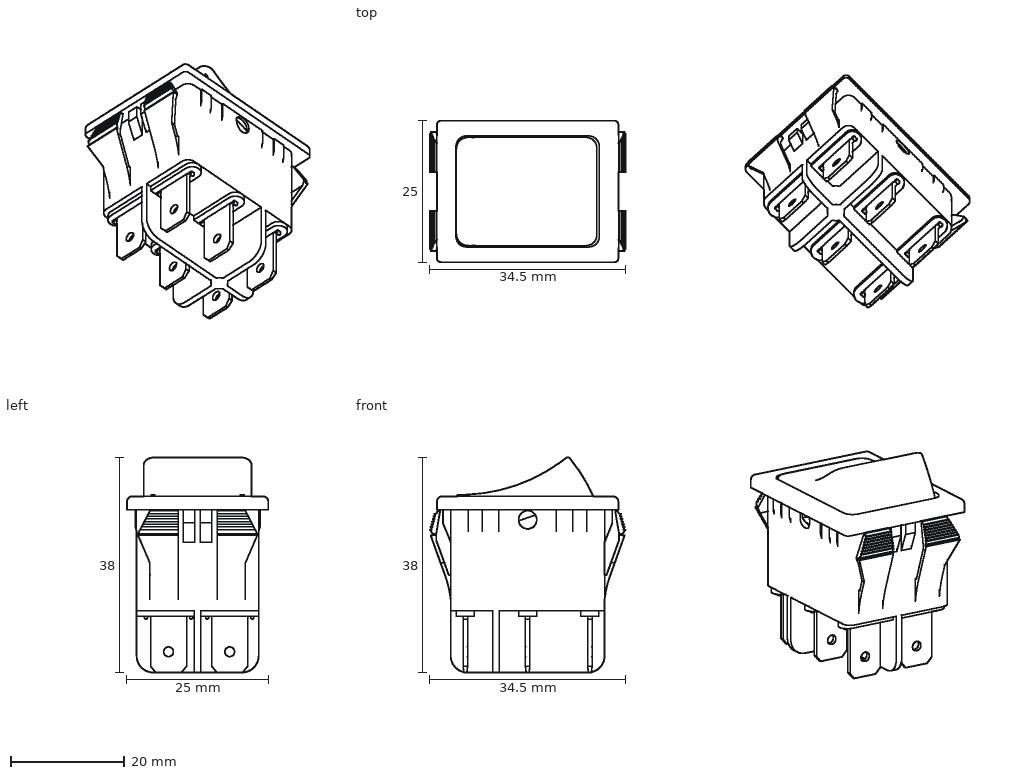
import cadquery as cq
import math


BEZEL_X = 32.07
BEZEL_Y = 25.0
BEZEL_BOTTOM = 28.73
BEZEL_TOP = 31.12
BEZEL_CORNER_R = 0.75
BEZEL_EDGE_R = 1.0
CASE_X = 27.2
CASE_Y = 21.6
CASE_BOTTOM = 10.95
CASE_CORNER_R = 1.52

WELL_X = 25.3
WELL_Y = 19.6
WELL_FLOOR = 20.52
WELL_CORNER_R = 1.9

PIVOT_Z = 26.98
PIVOT_D = 3.2
ROCKER_TILT = 19.0
ROCKER_Y = 19.08
ROCKER_HALF = 12.35
ROCKER_BOTTOM = -1.7
ROCKER_MIDDLE_TOP = 6.42
ROCKER_CREST_X = 10.4
ROCKER_CREST_Z = 8.3
ROCKER_END_BULGE = 0.3
ROCKER_CORNER_R = 1.98
ROCKER_EDGE_R = 0.5
BOSS_D = 4.85
PIN_END_Y = 10.55
PIN_RAMP_START = 0.35
PIN_RAMP_DEPTH = 1.03

DIVIDER_T = 1.15
DIVIDER_CORNER_R = 3.0
DIVIDER_FILLET_R = 0.3
POST_D = 3.0
CROSS_DIVIDER_X = -5.55
PAD_W = 3.2
PAD_BOTTOM = 10.0

TERMINAL_PITCH_X = 11.0
TERMINAL_PITCH_Y = 10.8
TERMINAL_SHIFT_Y = -0.25
TERMINAL_W = 6.35
TERMINAL_T = 0.8
TERMINAL_ROOT_R = 0.25
TERMINAL_TIP_H = 1.15
TERMINAL_TIP_SIDE = 0.95
TERMINAL_TIP_FACE = 0.15
TERMINAL_HOLE_D = 1.7
TERMINAL_HOLE_Z = 3.7
BARB_SPACING = 7.98
BARB_D = 0.57
BARB_BOTTOM = 9.45

OVERALL_X = 34.55
CLIP_TOP = 28.55
CLIP_INNER_Y = 3.42
CLIP_OUTER_Y = 8.45
CLIP_WIDE_Y = 10.53
CLIP_WAIST_Z = 19.38
CLIP_FOOT_Z = 13.0
CLIP_BEND_X = 14.55
CLIP_BEND_Z = 17.05
CLIP_LEDGE_X = 17.15
CLIP_LEDGE_Z = 24.25
CLIP_NECK_X = 16.8
CLIP_NECK_Z = 24.5
CLIP_TIP_OUTER_X = 15.85
CLIP_TIP_INNER_X = 15.43
CLIP_KNEE_X = 16.1
CLIP_KNEE_Z = 23.37
CLIP_ARMPIT_X = 13.9
CLIP_ARMPIT_Z = 17.25
TOOTH_COUNT = 7
TOOTH_REACH = OVERALL_X / 2
TOOTH_LOWEST_Z = 25.25
TOOTH_RISE = 2.85
TOOTH_PITCH = TOOTH_RISE / (TOOTH_COUNT - 1)
TOOTH_STEP = 0.125
TOOTH_DEPTH = 0.36

RIB_W = 2.05
RIB_SPACING = 3.0
RIB_REACH = 1.35
RIB_BEVEL_Z = 26.4
RIB_BOTTOM = 23.03
WEDGE_REACH = 0.247
WEDGE_BEVEL_Z = 25.9
WEDGE_BOTTOM = 24.95
SIDE_WEDGE_X = 9.25
SIDE_WEDGE_W = 2.47
MIDDLE_WEDGE_W = 10.15


def block(size_x, size_y, bottom, top):
    """Box centred on the Z axis between two heights."""
    return cq.Workplane("XY", origin=(0, 0, bottom)).rect(size_x, size_y).extrude(top - bottom)


def make_shell():
    """Case and bezel with the well for the rocker."""
    case = block(CASE_X, CASE_Y, CASE_BOTTOM, BEZEL_TOP - BEZEL_EDGE_R).edges("|Z").fillet(CASE_CORNER_R)
    bezel = block(BEZEL_X, BEZEL_Y, BEZEL_BOTTOM, BEZEL_TOP)
    bezel = bezel.edges("|Z").fillet(BEZEL_CORNER_R).faces(">Z").edges().fillet(BEZEL_EDGE_R)
    well = block(WELL_X, WELL_Y, WELL_FLOOR, BEZEL_TOP).edges("|Z").fillet(WELL_CORNER_R)
    return case.union(bezel).cut(well)


def make_dividers():
    """Lengthwise and crosswise divider walls, with a round filleted post where they cross."""
    lengthwise = block(CASE_X, DIVIDER_T, 0, CASE_BOTTOM).edges("|Y and <Z").fillet(DIVIDER_CORNER_R)
    crosswise = block(DIVIDER_T, CASE_Y, 0, CASE_BOTTOM).edges("|X and <Z").fillet(DIVIDER_CORNER_R)
    post = cq.Workplane("XY").circle(POST_D / 2).extrude(CASE_BOTTOM)
    crossing = crosswise.union(post).translate((CROSS_DIVIDER_X, 0, 0))
    around_post = cq.selectors.BoxSelector(
        (CROSS_DIVIDER_X - POST_D, -POST_D, 0),
        (CROSS_DIVIDER_X + POST_D, POST_D, CASE_BOTTOM),
    )
    return lengthwise.union(crossing).edges("|Z").edges(around_post).fillet(DIVIDER_FILLET_R)


def make_pad(x):
    """Round-ended pad that carries one row of terminals."""
    return (
        cq.Workplane("XY", origin=(x, 0, PAD_BOTTOM))
        .slot2D(CASE_Y, PAD_W, 90)
        .extrude(CASE_BOTTOM - PAD_BOTTOM)
    )


def make_terminal(x, y):
    """Blade with a tapered tip, a hole, flared root and two round barbs."""
    half = TERMINAL_W / 2
    tip_half = half - TERMINAL_TIP_SIDE
    root_z = PAD_BOTTOM - TERMINAL_ROOT_R
    middle = math.sqrt(0.5)
    bow = TERMINAL_ROOT_R * (1 - middle)
    blade = (
        cq.Workplane("YZ")
        .moveTo(half + TERMINAL_ROOT_R, PAD_BOTTOM)
        .threePointArc((half + bow, PAD_BOTTOM - bow), (half, root_z))
        .lineTo(half, TERMINAL_TIP_H)
        .lineTo(tip_half, 0)
        .lineTo(-tip_half, 0)
        .lineTo(-half, TERMINAL_TIP_H)
        .lineTo(-half, root_z)
        .threePointArc((-half - bow, PAD_BOTTOM - bow), (-half - TERMINAL_ROOT_R, PAD_BOTTOM))
        .close()
        .extrude(TERMINAL_T / 2, both=True)
    )
    face = TERMINAL_T / 2
    tip_face = face - TERMINAL_TIP_FACE
    thickness = (
        cq.Workplane("XZ")
        .polyline(
            [
                (face, PAD_BOTTOM),
                (face, TERMINAL_TIP_H),
                (tip_face, 0),
                (-tip_face, 0),
                (-face, TERMINAL_TIP_H),
                (-face, PAD_BOTTOM),
            ]
        )
        .close()
        .extrude(TERMINAL_W, both=True)
    )
    hole = (
        cq.Workplane("YZ")
        .center(0, TERMINAL_HOLE_Z)
        .circle(TERMINAL_HOLE_D / 2)
        .extrude(TERMINAL_T, both=True)
    )
    terminal = blade.intersect(thickness).cut(hole)
    for side in (-1, 1):
        barb = (
            cq.Workplane("YZ")
            .center(side * BARB_SPACING / 2, BARB_BOTTOM + BARB_D)
            .slot2D(2 * BARB_D, BARB_D, 90)
            .extrude(TERMINAL_T / 2, both=True)
        )
        terminal = terminal.union(barb)
    return terminal.translate((x, y, 0))


def make_clip():
    """Toothed snap clip on the +X end, on the +Y half."""
    wall = CASE_X / 2
    teeth = []
    for i in range(TOOTH_COUNT):
        tip_x = TOOTH_REACH - i * TOOTH_STEP
        tip_z = TOOTH_LOWEST_Z + i * TOOTH_PITCH
        teeth += [(tip_x, tip_z), (tip_x - TOOTH_DEPTH, tip_z)]
    profile = (
        cq.Workplane("XZ")
        .moveTo(CLIP_LEDGE_X, CLIP_LEDGE_Z)
        .lineTo(CLIP_BEND_X, CLIP_BEND_Z)
        .tangentArcPoint((wall, CLIP_FOOT_Z), relative=False)
        .lineTo(wall, CLIP_ARMPIT_Z)
        .lineTo(CLIP_ARMPIT_X, CLIP_ARMPIT_Z)
        .lineTo(CLIP_KNEE_X, CLIP_KNEE_Z)
        .lineTo(CLIP_KNEE_X, CLIP_NECK_Z)
        .lineTo(CLIP_TIP_INNER_X, CLIP_TOP)
        .lineTo(CLIP_TIP_OUTER_X, CLIP_TOP)
    )
    for x, z in reversed(teeth):
        profile = profile.lineTo(x, z)
    profile = profile.lineTo(CLIP_NECK_X, CLIP_NECK_Z).lineTo(CLIP_NECK_X, CLIP_LEDGE_Z).close()
    outline = (
        cq.Workplane("YZ")
        .polyline(
            [
                (CLIP_INNER_Y, CLIP_FOOT_Z),
                (CLIP_OUTER_Y, CLIP_FOOT_Z),
                (CLIP_OUTER_Y, CLIP_WAIST_Z),
                (CLIP_WIDE_Y, CLIP_LEDGE_Z),
                (CLIP_WIDE_Y, CLIP_NECK_Z),
                (CLIP_OUTER_Y, CLIP_TOP),
                (CLIP_INNER_Y, CLIP_TOP),
            ]
        )
        .close()
        .extrude(BEZEL_X)
    )
    return profile.extrude(-BEZEL_Y).intersect(outline)


def make_hanging_wedge(plane, wall, reach, width, bevel_z, bottom):
    """Wedge under the bezel, with its lower end sloping back to the wall."""
    outer = wall + reach
    return (
        cq.Workplane(plane)
        .polyline([(wall, BEZEL_BOTTOM), (outer, BEZEL_BOTTOM), (outer, bevel_z), (wall, bottom)])
        .close()
        .extrude(width / 2, both=True)
    )


def make_housing():
    """Case with bezel, dividers, terminals, clips, ribs and wedges as one solid."""
    housing = make_shell().union(make_dividers())

    for row in (-1, 0, 1):
        x = row * TERMINAL_PITCH_X
        housing = housing.union(make_pad(x))
        for side in (-1, 1):
            y = TERMINAL_SHIFT_Y + side * TERMINAL_PITCH_Y / 2
            housing = housing.union(make_terminal(x, y))

    clip = make_clip()
    clips = clip.union(clip.mirror("XZ"))
    housing = housing.union(clips).union(clips.mirror("YZ"))

    rib = make_hanging_wedge("XZ", CASE_X / 2, RIB_REACH, RIB_W, RIB_BEVEL_Z, RIB_BOTTOM)
    for side in (-1, 1):
        placed = rib.translate((0, side * RIB_SPACING / 2, 0))
        housing = housing.union(placed).union(placed.mirror("YZ"))

    for x, width in (
        (-SIDE_WEDGE_X, SIDE_WEDGE_W),
        (0, MIDDLE_WEDGE_W),
        (SIDE_WEDGE_X, SIDE_WEDGE_W),
    ):
        wedge = make_hanging_wedge("YZ", CASE_Y / 2, WEDGE_REACH, width, WEDGE_BEVEL_Z, WEDGE_BOTTOM)
        placed = wedge.translate((x, 0, 0))
        housing = housing.union(placed).union(placed.mirror("XZ"))

    pivot_hole = cq.Workplane("XZ").center(0, PIVOT_Z).circle(PIVOT_D / 2).extrude(BEZEL_Y, both=True)
    return housing.cut(pivot_hole)


def make_pivot_pin():
    """Pin on the +Y side, its lower half sloped so that it snaps into the housing."""
    boss = cq.Workplane("XZ").circle(BOSS_D / 2).extrude(-WELL_Y / 2)
    pin = cq.Workplane("XZ").circle(PIVOT_D / 2).extrude(-PIN_END_Y)
    lowest = -PIVOT_D / 2
    ramp = (
        cq.Workplane("YZ")
        .polyline(
            [
                (PIN_END_Y, PIN_RAMP_START),
                (PIN_END_Y, lowest),
                (PIN_END_Y - PIN_RAMP_DEPTH, lowest),
            ]
        )
        .close()
        .extrude(PIVOT_D, both=True)
    )
    return boss.union(pin).cut(ramp)


def make_rocker():
    """Dished rocker with its two pivot pins, tilted about the pivot."""
    end_mid_x = (ROCKER_HALF + ROCKER_CREST_X) / 2 + ROCKER_END_BULGE
    body = (
        cq.Workplane("XZ")
        .moveTo(-ROCKER_HALF, ROCKER_BOTTOM)
        .lineTo(ROCKER_HALF, ROCKER_BOTTOM)
        .lineTo(ROCKER_HALF, 0)
        .threePointArc((end_mid_x, ROCKER_CREST_Z / 2), (ROCKER_CREST_X, ROCKER_CREST_Z))
        .threePointArc((0, ROCKER_MIDDLE_TOP), (-ROCKER_CREST_X, ROCKER_CREST_Z))
        .threePointArc((-end_mid_x, ROCKER_CREST_Z / 2), (-ROCKER_HALF, 0))
        .close()
        .extrude(ROCKER_Y / 2, both=True)
    )
    for left, right in ((-WELL_X, -ROCKER_CREST_X), (ROCKER_CREST_X, WELL_X)):
        end = cq.selectors.BoxSelector(
            (left, -ROCKER_Y, ROCKER_BOTTOM),
            (right, ROCKER_Y, ROCKER_CREST_Z),
        )
        body = body.edges(end).edges("not |Y").fillet(ROCKER_CORNER_R)
    top_face = cq.selectors.NearestToPointSelector((0, 0, ROCKER_MIDDLE_TOP))
    body = body.faces(top_face).edges().fillet(ROCKER_EDGE_R)

    pin = make_pivot_pin()
    body = body.union(pin).union(pin.mirror("XZ"))
    return body.rotate((0, 0, 0), (0, 1, 0), -ROCKER_TILT).translate((0, 0, PIVOT_Z))


housing = make_housing()
rocker = make_rocker()

result = cq.Compound.makeCompound([housing.val(), rocker.val()])